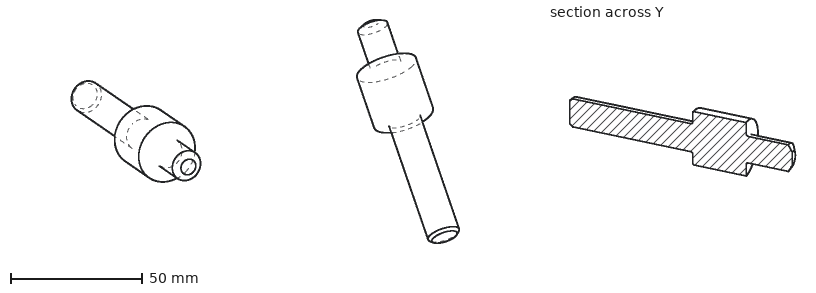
import cadquery as cq

total_length = 91.95
collar_start = 50.8
collar_end = 72.9

shaft_diameter = 12.6
collar_diameter = 23.8
pin_diameter = 11.95

shaft_chamfer = 1.2
collar_fillet = 0.8
root_fillet = 0.8
pin_tip_length = 1.7
pin_tip_diameter = 6.25


def cylinder_along_x(start, end, diameter):
    """Solid cylinder centred on the X axis between two X positions."""
    return cq.Workplane("YZ").workplane(offset=start).circle(diameter / 2).extrude(end - start)


def fillet_root(body, shoulder, diameter):
    """Round the inside corner where a section meets the collar face."""
    corner = cq.selectors.RadiusNthSelector(0)
    margin = 0.1
    reach = diameter / 2 + margin
    near_corner = cq.selectors.BoxSelector(
        (shoulder - margin, -reach, -reach),
        (shoulder + margin, reach, reach),
        boundingbox=True,
    )
    return body.edges(near_corner).edges(corner).fillet(root_fillet)


shaft = cylinder_along_x(0, collar_start, shaft_diameter).faces("<X").chamfer(shaft_chamfer)

collar = cylinder_along_x(collar_start, collar_end, collar_diameter).faces("<X").edges().fillet(collar_fillet)

pin_profile = [
    (collar_end, 0),
    (collar_end, pin_diameter / 2),
    (total_length - pin_tip_length, pin_diameter / 2),
    (total_length, pin_tip_diameter / 2),
    (total_length, 0),
]
pin = cq.Workplane("XY").polyline(pin_profile).close().revolve(360, (0, 0, 0), (1, 0, 0))

body = shaft.union(collar).union(pin)
body = fillet_root(body, collar_start, shaft_diameter)
result = fillet_root(body, collar_end, pin_diameter)